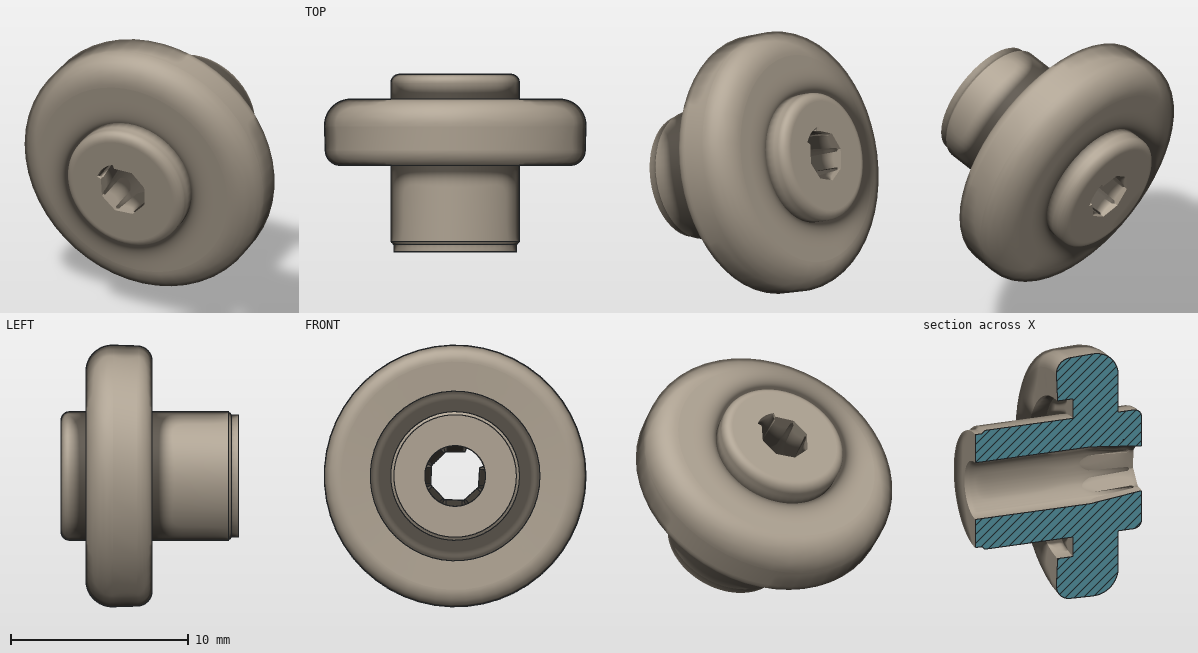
import cadquery as cq
import math

HUB_LENGTH = 10.0
SHANK_RADIUS = 3.625
SPIGOT_RADIUS = 3.45
SPIGOT_LENGTH = 0.4
SHOULDER_CHAMFER = SHANK_RADIUS - SPIGOT_RADIUS
REAR_FILLET = 0.5

FLANGE_RADIUS = 7.375
FLANGE_FRONT = 4.86
FLANGE_REAR = 8.6
FLANGE_REAR_ROUND = 1.5
FLANGE_FRONT_ROUND = 0.87
RIM_DRAFT = math.radians(1.8)
FACE_DRAFT = math.radians(2.5)

RECESS_RADIUS = 4.78
RECESS_DEPTH = 1.0

BORE_RADIUS = 1.71
PAD_COUNT = 7
PAD_FIRST_ANGLE = 90.0
PAD_PITCH_ANGLE = math.radians(44.4)
PAD_APOTHEM = 1.345
PAD_RAMP_ANGLE = math.radians(6.7)
PAD_RAMP_HALF_WIDTH = 0.45
PAD_REAR = HUB_LENGTH
PAD_EMBED = 0.2


def make_hub():
    """Shank with a stepped front spigot and a rounded rear end."""
    profile = (
        cq.Workplane("XY")
        .lineTo(SPIGOT_RADIUS, 0)
        .lineTo(SPIGOT_RADIUS, SPIGOT_LENGTH)
        .lineTo(SHANK_RADIUS, SPIGOT_LENGTH + SHOULDER_CHAMFER)
        .lineTo(SHANK_RADIUS, HUB_LENGTH)
        .lineTo(0, HUB_LENGTH)
        .close()
    )
    hub = profile.revolve(360, (0, 0, 0), (0, 1, 0))
    return hub.faces(">Y").edges().fillet(REAR_FILLET)


def arc_point(center, radius, angle):
    """Point on a circle of the flange section, angle measured from the radial direction."""
    return (center[0] + radius * math.cos(angle), center[1] + radius * math.sin(angle))


def make_flange():
    """Round-edged disc, with a ring-shaped recess in its front face."""
    rear_center = (FLANGE_RADIUS - FLANGE_REAR_ROUND, FLANGE_REAR - FLANGE_REAR_ROUND)
    rear_start = arc_point(rear_center, FLANGE_REAR_ROUND, -RIM_DRAFT)
    rear_middle = arc_point(rear_center, FLANGE_REAR_ROUND, math.pi / 4)
    rear_end = arc_point(rear_center, FLANGE_REAR_ROUND, math.pi / 2)

    front_y = FLANGE_FRONT + FLANGE_FRONT_ROUND
    rim_height = rear_center[1] - front_y
    round_difference = FLANGE_REAR_ROUND - FLANGE_FRONT_ROUND
    front_x = rear_center[0] + round_difference / math.cos(RIM_DRAFT) - rim_height * math.tan(RIM_DRAFT)
    front_center = (front_x, front_y)
    face_angle = -math.pi / 2 - FACE_DRAFT
    front_start = arc_point(front_center, FLANGE_FRONT_ROUND, face_angle)
    front_middle = arc_point(front_center, FLANGE_FRONT_ROUND, (face_angle - RIM_DRAFT) / 2)
    front_end = arc_point(front_center, FLANGE_FRONT_ROUND, -RIM_DRAFT)

    rim_y = front_start[1] + (front_start[0] - RECESS_RADIUS) * math.tan(FACE_DRAFT)
    floor_y = FLANGE_FRONT + RECESS_DEPTH
    profile = (
        cq.Workplane("XY")
        .moveTo(0, floor_y)
        .lineTo(RECESS_RADIUS, floor_y)
        .lineTo(RECESS_RADIUS, rim_y)
        .lineTo(*front_start)
        .threePointArc(front_middle, front_end)
        .lineTo(*rear_start)
        .threePointArc(rear_middle, rear_end)
        .lineTo(0, FLANGE_REAR)
        .close()
    )
    return profile.revolve(360, (0, 0, 0), (0, 1, 0))


def make_bore():
    """Plain cylinder along the whole hub."""
    return cq.Workplane("XZ").circle(BORE_RADIUS).extrude(-HUB_LENGTH)


def make_pad():
    """Pad on the +X side of the bore: ramped towards the front, with flared ends."""
    root_radius = BORE_RADIUS + PAD_EMBED
    ramp_length = (root_radius - PAD_APOTHEM) / math.tan(PAD_RAMP_ANGLE)
    pad_front = PAD_REAR - ramp_length

    side = (
        cq.Workplane("XY")
        .moveTo(root_radius, pad_front)
        .lineTo(PAD_APOTHEM, PAD_REAR)
        .lineTo(root_radius, PAD_REAR)
        .close()
        .extrude(root_radius, both=True)
    )

    root_half_width = root_radius * math.tan(PAD_PITCH_ANGLE / 2)
    sector = (
        cq.Workplane("XZ")
        .lineTo(root_radius, root_half_width)
        .lineTo(root_radius, -root_half_width)
        .close()
        .extrude(-HUB_LENGTH)
    )

    flare = root_half_width - PAD_RAMP_HALF_WIDTH
    flare_start = PAD_REAR - flare
    outline = (
        cq.Workplane("YZ")
        .moveTo(pad_front, PAD_RAMP_HALF_WIDTH)
        .lineTo(flare_start, PAD_RAMP_HALF_WIDTH)
        .lineTo(PAD_REAR, root_half_width)
        .lineTo(PAD_REAR, -root_half_width)
        .lineTo(flare_start, -PAD_RAMP_HALF_WIDTH)
        .lineTo(pad_front, -PAD_RAMP_HALF_WIDTH)
        .close()
        .extrude(root_radius)
    )
    return side.intersect(sector).intersect(outline)


result = make_hub().union(make_flange()).cut(make_bore())

pad = make_pad()
for index in range(PAD_COUNT):
    angle = PAD_FIRST_ANGLE + index * math.degrees(PAD_PITCH_ANGLE)
    result = result.union(pad.rotate((0, 0, 0), (0, 1, 0), -angle))